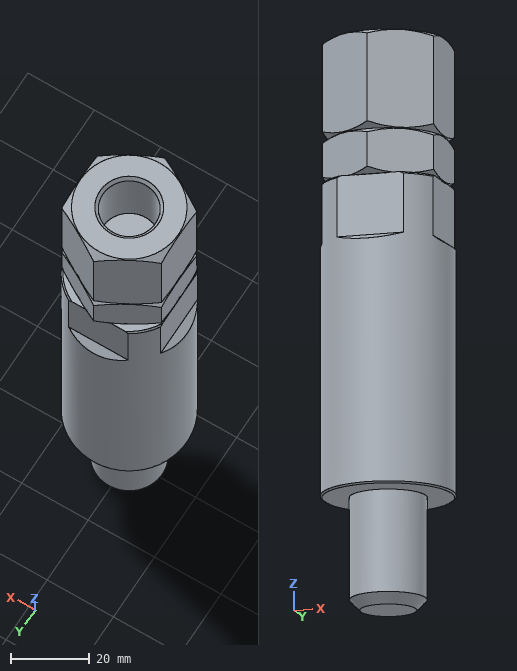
import cadquery as cq
import math

TOTAL_LENGTH = 149.5
STUD_LENGTH = 29.6
LOCKNUT_HEIGHT = 12.0
COUPLING_HEIGHT = 26.0
COUPLING_BASE_Z = TOTAL_LENGTH - COUPLING_HEIGHT
LOCKNUT_BASE_Z = COUPLING_BASE_Z - LOCKNUT_HEIGHT
BODY_LENGTH = LOCKNUT_BASE_Z - STUD_LENGTH

ACROSS_FLATS = 30.0
HEX_HALF_ANGLE = 30
ACROSS_CORNERS = ACROSS_FLATS / math.cos(math.radians(HEX_HALF_ANGLE))
HEX_FACE_DIAMETER = 29.6
ENVELOPE_MARGIN = 1.5
BEVEL_ANGLE = 30
BEVEL_SLOPE = math.tan(math.radians(BEVEL_ANGLE))

BODY_DIAMETER = 35.0
BODY_EDGE_CHAMFER = 0.5
FLAT_LENGTH = 16.0
FLAT_ANGLES = (0, 90, 180, 270)
CUTTER_MARGIN = 1.5
STUD_DIAMETER = 20.0
STUD_TIP_CHAMFER = 2.7

BORE_DIAMETER = 15.8
BORE_MOUTH_DIAMETER = 17.6
BORE_DEPTH = 20.0
SPIGOT_DIAMETER = BORE_DIAMETER


def beveled_hexagon(height):
    """Hexagonal prism with corners on the Y axis, both ends beveled by a 30 degree cone."""
    prism = (
        cq.Workplane("XY")
        .polygon(6, ACROSS_CORNERS)
        .extrude(height)
        .rotate((0, 0, 0), (0, 0, 1), HEX_HALF_ANGLE)
    )
    face_radius = HEX_FACE_DIAMETER / 2
    envelope_radius = ACROSS_CORNERS / 2 + ENVELOPE_MARGIN
    bevel_height = (envelope_radius - face_radius) * BEVEL_SLOPE
    envelope = (
        cq.Workplane("XZ")
        .polyline([
            (0, 0),
            (face_radius, 0),
            (envelope_radius, bevel_height),
            (envelope_radius, height - bevel_height),
            (face_radius, height),
            (0, height),
        ])
        .close()
        .revolve(360, (0, 0, 0), (0, 1, 0))
    )
    return prism.intersect(envelope)


def flat_cutter():
    """Wedge that cuts the +X wrench flat, ending below in a shoulder that slopes outward and down."""
    flat_x = ACROSS_FLATS / 2
    outer_x = BODY_DIAMETER / 2 + CUTTER_MARGIN
    shoulder_z = LOCKNUT_BASE_Z - FLAT_LENGTH
    shoulder_drop = (outer_x - flat_x) * BEVEL_SLOPE
    return (
        cq.Workplane("XZ")
        .polyline([
            (flat_x, LOCKNUT_BASE_Z),
            (flat_x, shoulder_z),
            (outer_x, shoulder_z - shoulder_drop),
            (outer_x, LOCKNUT_BASE_Z),
        ])
        .close()
        .extrude(BODY_DIAMETER / 2, both=True)
    )


def make_housing():
    """Round body with four wrench flats at the top and a chamfered stud below."""
    body = (
        cq.Workplane("XY", origin=(0, 0, STUD_LENGTH))
        .circle(BODY_DIAMETER / 2)
        .extrude(BODY_LENGTH)
        .edges("%CIRCLE")
        .chamfer(BODY_EDGE_CHAMFER)
    )
    for angle in FLAT_ANGLES:
        body = body.cut(flat_cutter().rotate((0, 0, 0), (0, 0, 1), angle))
    stud = (
        cq.Workplane("XY")
        .circle(STUD_DIAMETER / 2)
        .extrude(STUD_LENGTH)
        .faces("<Z")
        .chamfer(STUD_TIP_CHAMFER)
    )
    return body.union(stud)


def make_locknut():
    """Thin hexagonal nut around the coupling spigot."""
    hole = cq.Workplane("XY").circle(SPIGOT_DIAMETER / 2).extrude(LOCKNUT_HEIGHT)
    return beveled_hexagon(LOCKNUT_HEIGHT).cut(hole).translate((0, 0, LOCKNUT_BASE_Z))


def make_coupling():
    """Tall hexagon with a countersunk blind bore, and a spigot reaching down to the housing."""
    hexagon = beveled_hexagon(COUPLING_HEIGHT).translate((0, 0, COUPLING_BASE_Z))
    bore = (
        cq.Workplane("XY", origin=(0, 0, TOTAL_LENGTH))
        .circle(BORE_DIAMETER / 2)
        .extrude(-BORE_DEPTH)
    )
    countersink_depth = (BORE_MOUTH_DIAMETER - BORE_DIAMETER) / 2
    countersink = (
        cq.Workplane("XY", origin=(0, 0, TOTAL_LENGTH))
        .circle(BORE_MOUTH_DIAMETER / 2)
        .workplane(offset=-countersink_depth)
        .circle(BORE_DIAMETER / 2)
        .loft()
    )
    spigot = (
        cq.Workplane("XY", origin=(0, 0, LOCKNUT_BASE_Z))
        .circle(SPIGOT_DIAMETER / 2)
        .extrude(LOCKNUT_HEIGHT)
    )
    return hexagon.union(spigot).cut(bore).cut(countersink)


housing = make_housing().solids()
locknut = make_locknut().solids()
coupling = make_coupling().solids()
result = cq.Compound.makeCompound([housing.val(), locknut.val(), coupling.val()])